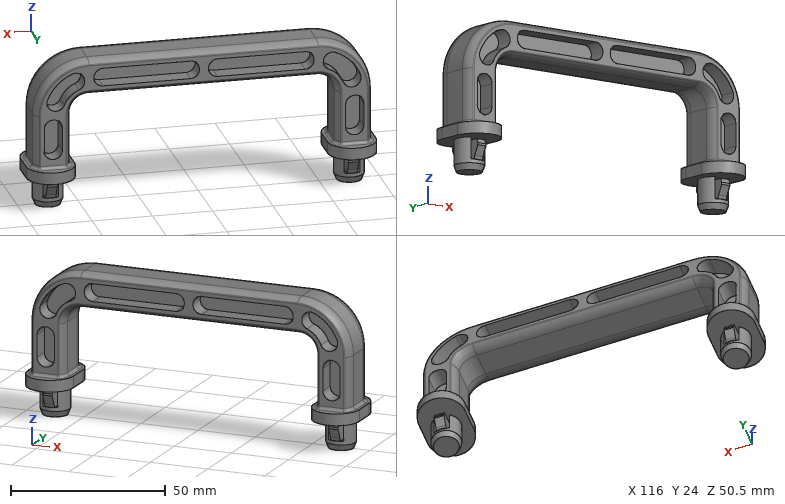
import cadquery as cq
import math

overall_length = 116.0
flange_length = 16.0
flange_width = 24.0
flange_thickness = 4.0
handle_height = 40.0

bar_thickness = 12.0
bar_width = 16.0
bar_flat_width = 8.0
crown_radius = 6.0
side_edge_radius = 0.5
inner_bend_radius = 6.0
foot_fillet_radius = 1.0

pocket_width = 6.0
pocket_depth = 6.0
leg_pocket_length = 13.6
leg_pocket_center_z = 13.9
grip_pocket_length = 35.0
grip_pocket_gap = 3.0
bend_pocket_sweep = 45.0

pin_radius = 5.0
pin_length = 10.5
pin_tip_radius = 4.2
pin_tip_height = 2.1
window_width = 5.2
window_height = 7.2
window_corner_radius = 0.5
clip_width = 3.4
clip_top_gap = 0.7
barb_shoulder_reach = 6.1
barb_reach = 6.6
barb_lip_depth = 2.1
barb_ramp_depth = 2.8
barb_ramp_end_depth = 6.0

leg_x = (overall_length - flange_length) / 2
bend_radius = inner_bend_radius + bar_thickness / 2
grip_z = handle_height - bar_thickness / 2
bend_center_x = leg_x - bend_radius
bend_center_z = grip_z - bend_radius
half_width = bar_width / 2
half_thickness = bar_thickness / 2
half_flat = bar_flat_width / 2


def crown_point(y):
    """Thickness coordinate of the crown arc at distance y from the middle plane."""
    rise = math.sqrt(crown_radius ** 2 - (y - half_flat) ** 2)
    return half_thickness - crown_radius + rise


def bar_section():
    """Closed section of the bar where the left leg stands on its flange."""
    middle_y = (half_flat + half_width) / 2
    middle_x = crown_point(middle_y)
    corner_x = crown_point(half_width)
    section = (
        cq.Workplane("XY", origin=(-leg_x, 0, flange_thickness))
        .moveTo(half_thickness, -half_flat)
        .lineTo(half_thickness, half_flat)
        .threePointArc((middle_x, middle_y), (corner_x, half_width))
        .lineTo(-corner_x, half_width)
        .threePointArc((-middle_x, middle_y), (-half_thickness, half_flat))
        .lineTo(-half_thickness, -half_flat)
        .threePointArc((-middle_x, -middle_y), (-corner_x, -half_width))
        .lineTo(corner_x, -half_width)
        .threePointArc((middle_x, -middle_y), (half_thickness, -half_flat))
        .close()
    )
    wire = section.val()
    corners = [v for v in wire.Vertices() if abs(v.Y) > half_width - side_edge_radius]
    return wire.fillet2D(side_edge_radius, corners)


def bar():
    """U-shaped bar swept up one leg, along the grip and down the other leg."""
    diagonal = bend_radius * math.sqrt(0.5)
    path = (
        cq.Workplane("XZ")
        .moveTo(-leg_x, flange_thickness)
        .lineTo(-leg_x, bend_center_z)
        .threePointArc((-bend_center_x - diagonal, bend_center_z + diagonal), (-bend_center_x, grip_z))
        .lineTo(bend_center_x, grip_z)
        .threePointArc((bend_center_x + diagonal, bend_center_z + diagonal), (leg_x, bend_center_z))
        .lineTo(leg_x, flange_thickness)
    )
    return cq.Workplane("XY").add(bar_section()).toPending().sweep(path)


def flange():
    return (
        cq.Workplane("XY")
        .center(-leg_x, 0)
        .slot2D(flange_width, flange_length, 90)
        .extrude(flange_thickness)
    )


def pin():
    """Snap-in pin with a window through it that frees a double-barbed clip."""
    body = (
        cq.Workplane("XZ")
        .lineTo(pin_radius, 0)
        .lineTo(pin_radius, pin_tip_height - pin_length)
        .lineTo(pin_tip_radius, -pin_length)
        .lineTo(0, -pin_length)
        .close()
        .revolve(360, (0, 0, 0), (0, 1, 0))
    )
    window = (
        cq.Workplane("XY")
        .box(window_width, 2 * pin_radius, window_height, centered=(True, True, False))
        .translate((0, 0, -window_height))
        .faces("<Z")
        .edges("|Y")
        .fillet(window_corner_radius)
    )
    barb = [
        (barb_shoulder_reach, -clip_top_gap),
        (barb_reach, -barb_lip_depth),
        (barb_reach, -barb_ramp_depth),
        (pin_radius, -barb_ramp_end_depth),
        (pin_tip_radius, pin_tip_height - pin_length),
    ]
    opposite_barb = [(-y, z) for y, z in reversed(barb)]
    clip = cq.Workplane("YZ").polyline(barb + opposite_barb).close().extrude(clip_width / 2, both=True)
    return body.cut(window).union(clip).translate((-leg_x, 0, 0))


def straight_pocket(center_x, center_z, length, angle):
    return (
        cq.Workplane("XZ", origin=(0, -half_width, 0))
        .center(center_x, center_z)
        .slot2D(length, pocket_width, angle)
        .extrude(-pocket_depth)
    )


def bend_pocket():
    """Round-ended pocket that follows the left bend."""
    start_angle = math.radians(135 - bend_pocket_sweep / 2)
    end_angle = math.radians(135 + bend_pocket_sweep / 2)

    def at(radius, angle):
        return (
            -bend_center_x + radius * math.cos(angle),
            bend_center_z + radius * math.sin(angle),
        )

    outer = bend_radius + pocket_width / 2
    inner = bend_radius - pocket_width / 2
    middle_angle = (start_angle + end_angle) / 2
    cap_angle = pocket_width / 2 / bend_radius
    return (
        cq.Workplane("XZ", origin=(0, -half_width, 0))
        .moveTo(*at(outer, start_angle))
        .threePointArc(at(outer, middle_angle), at(outer, end_angle))
        .threePointArc(at(bend_radius, end_angle + cap_angle), at(inner, end_angle))
        .threePointArc(at(inner, middle_angle), at(inner, start_angle))
        .threePointArc(at(bend_radius, start_angle - cap_angle), at(outer, start_angle))
        .close()
        .extrude(-pocket_depth)
    )


def fillet_feet(handle):
    """Round the concave corners all around both legs, on top of the flanges."""
    reach_x = half_thickness + side_edge_radius
    reach_y = half_width + side_edge_radius
    reach_z = flange_thickness / 10
    for x in (-leg_x, leg_x):
        around_leg = cq.selectors.BoxSelector(
            (x - reach_x, -reach_y, flange_thickness - reach_z),
            (x + reach_x, reach_y, flange_thickness + reach_z),
        )
        handle = handle.edges(around_leg).fillet(foot_fillet_radius)
    return handle


def with_mirror(shape, plane):
    return shape.union(shape.mirror(plane))


handle = fillet_feet(bar().union(with_mirror(flange(), "YZ")))

grip_pocket_x = (grip_pocket_length + grip_pocket_gap) / 2
front_left_pockets = (
    straight_pocket(-leg_x, leg_pocket_center_z, leg_pocket_length, 90)
    .union(bend_pocket())
    .union(straight_pocket(-grip_pocket_x, grip_z, grip_pocket_length, 0))
)
front_pockets = with_mirror(front_left_pockets, "YZ")
pockets = with_mirror(front_pockets, "XZ")

result = handle.union(with_mirror(pin(), "YZ")).cut(pockets)